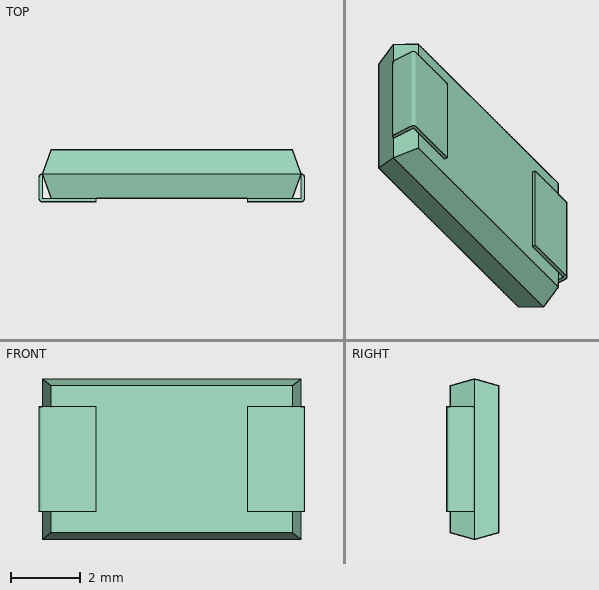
import cadquery as cq

overall_length = 7.6
overall_depth = 1.5
overall_height = 4.6

strip_thickness = 0.1
terminal_height = 3.0
foot_length = 1.635
weld_overlap = 0.01

body_length = overall_length - 2 * strip_thickness
body_half_depth = (overall_depth - strip_thickness) / 2
end_taper = 0.25
side_taper = 0.2

feet_y = -overall_depth / 2
parting_y = feet_y + strip_thickness + body_half_depth


def body_half(direction):
    """Half of the body, from the parting plane towards +Y (1) or -Y (-1)."""
    parting_plane = cq.Plane(origin=(0, parting_y, 0), xDir=(1, 0, 0), normal=(0, direction, 0))
    return (
        cq.Workplane(parting_plane)
        .rect(body_length, overall_height)
        .workplane(offset=body_half_depth)
        .rect(body_length - 2 * end_taper, overall_height - 2 * side_taper)
        .loft(ruled=True)
    )


def left_terminal():
    """L-shaped strip: an upright beside the body end and a foot under its front face."""
    outer_x = -overall_length / 2
    inner_x = outer_x + strip_thickness + weld_overlap
    toe_x = outer_x + foot_length
    foot_top_y = feet_y + strip_thickness
    bend_radius = strip_thickness
    return (
        cq.Workplane("XY", origin=(0, 0, -terminal_height / 2))
        .moveTo(toe_x, feet_y)
        .lineTo(outer_x + bend_radius, feet_y)
        .radiusArc((outer_x, feet_y + bend_radius), bend_radius)
        .lineTo(outer_x, parting_y - bend_radius)
        .radiusArc((outer_x + bend_radius, parting_y), bend_radius)
        .lineTo(inner_x, parting_y)
        .lineTo(inner_x, foot_top_y)
        .lineTo(toe_x, foot_top_y)
        .close()
        .extrude(terminal_height)
    )


terminal = left_terminal()
result = (
    body_half(1)
    .union(body_half(-1))
    .union(terminal)
    .union(terminal.mirror("YZ"))
)